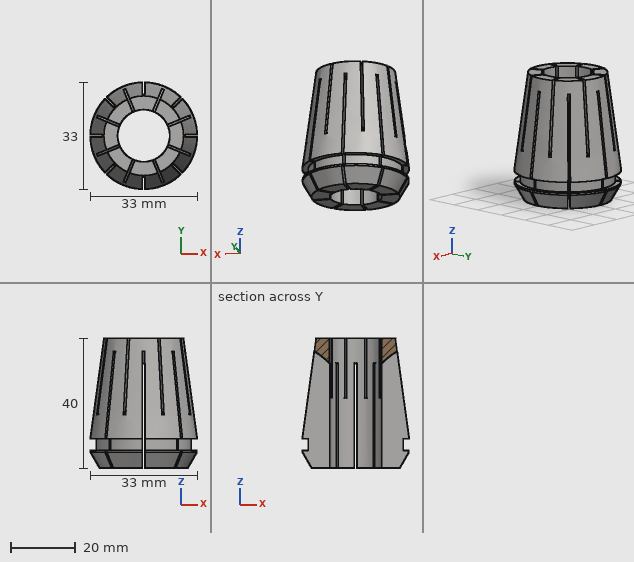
import cadquery as cq
import math

length = 40.0
max_radius = 16.5
bore_radius = 8.0

nose_angle = 30.0
nose_height = 4.9
rim_radius = 16.4
rim_top = 5.5
groove_radius = 14.65
taper_start = 9.0
top_radius = 12.25

slots_per_end = 8
pitch_angle = 360 / slots_per_end
slot_width = 0.75
saw_radius = 25.0
lower_slot_end = 36.0
lower_slot_bore_end = 32.1
upper_slot_end = 16.5
upper_slot_bore_end = 21.85
bore_overlap = 0.1
overcut = 1.0


def taper_radius(z):
    """Radius of the long outer cone at height z."""
    slope = (max_radius - top_radius) / (length - taper_start)
    return max_radius - (z - taper_start) * slope


def make_body():
    """Revolve the half section, bore wall included, around the Z axis."""
    nose_radius = rim_radius - nose_height * math.tan(math.radians(nose_angle))
    profile = [
        (bore_radius, 0),
        (nose_radius, 0),
        (rim_radius, nose_height),
        (rim_radius, rim_top),
        (groove_radius, rim_top),
        (groove_radius, taper_start),
        (max_radius, taper_start),
        (top_radius, length),
        (bore_radius, length),
    ]
    return cq.Workplane("XZ").polyline(profile).close().revolve(360, (0, 0), (0, 1))


def make_slot(open_z, outer_z, bore_z, arc_radius):
    """Cutter for a radial slot along +X, open at open_z.

    The blind end is a round saw's arc from bore_z just inside the bore to outer_z on the cone.
    The sign of arc_radius sets the side the arc bulges to.
    """
    inside = bore_radius - bore_overlap
    outside = max_radius + overcut
    return (
        cq.Workplane("XZ")
        .moveTo(0, open_z)
        .lineTo(0, bore_z)
        .lineTo(inside, bore_z)
        .radiusArc((taper_radius(outer_z), outer_z), arc_radius)
        .lineTo(outside, outer_z)
        .lineTo(outside, open_z)
        .close()
        .extrude(slot_width / 2, both=True)
    )


def cut_slots(body, slot, first_angle):
    """Cut one end's ring of evenly spaced slots."""
    for index in range(slots_per_end):
        angle = first_angle + index * pitch_angle
        body = body.cut(slot.rotate((0, 0, 0), (0, 0, 1), angle))
    return body


lower_slot = make_slot(-overcut, lower_slot_end, lower_slot_bore_end, saw_radius)
upper_slot = make_slot(length + overcut, upper_slot_end, upper_slot_bore_end, -saw_radius)

result = make_body()
result = cut_slots(result, lower_slot, 0)
result = cut_slots(result, upper_slot, pitch_angle / 2)